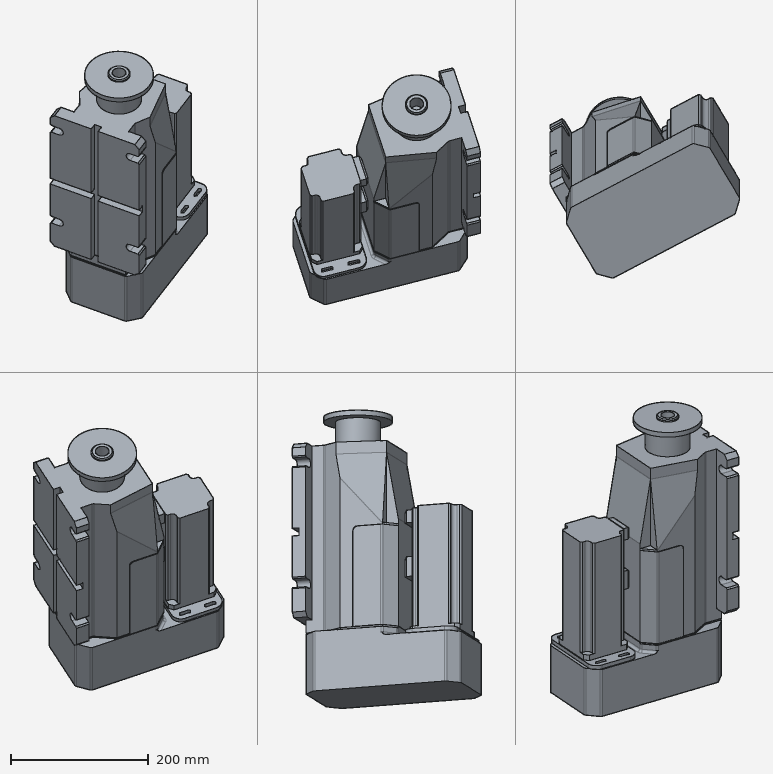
import cadquery as cq
import math

total_height = 420.0

base_width = 146.0
base_thickness = 20.5
base_bottom = 110.0
base_corner = 7.0
groove_width = 11.5
groove_depth = 10.5
cross_groove_z = 236.0
slot_heights = (160.5, 340.0)
slot_width = 13.0
slot_reach = 21.5
slot_mouth_chamfer = 2.0

body_width = 125.0
front_y = 11.5
body_back = 153.5
housing_bottom = 91.0
housing_top = 368.5
neck_width = 90.0
neck_back = 40.0
shoulder_y = 69.7
neck_fillet = 5.0
rear_chamfer = 18.0
ledge_z = 243.0
back_slope_bottom = 250.7
slope_top = 350.5
flank_angle = 10.1
flank_bottom = 242.0

pad_rise = 1.3
pad_front = 90.0
pad_rear = 134.5
pad_top = 240.2
pad_corner = 7.0
pad_edge_fillet = 4.0

cover_back = 250.0
cover_height = 76.0
step_top = 88.5
step_back = 152.5
cover_chamfer = 17.5
cover_edge_fillet = 5.0
step_fillet = 4.0
gap_inset = 1.0

motor_y = 205.0
motor_width = 77.0
motor_top = 269.5
motor_foot_top = 91.0
motor_foot_chamfer = 6.5
corner_notch = 13.0
corner_notch_fillet = 6.5
notch_mouth_chamfer = 2.5
plate_width = 121.0
plate_depth = 79.5
plate_thickness = 6.5
plate_corner = 14.5
plate_slot_x = 50.0
plate_slot_offset = 20.0
plate_slot_length = 17.5
plate_slot_width = 5.5

connector_width = 39.5
connector_reach = 12.5
connector_spans = ((169.5, 199.0), (249.5, 268.5))
connector_chamfer = 3.5

rod_y = 75.5
rod_diameter = 65.5
flange_diameter = 100.0
flange_bottom = 408.5
flange_top = 416.2
nub_diameter = 32.5
nub_chamfer = 1.5
bore_diameter = 19.7
bore_depth = 25.0

half_body = body_width / 2
half_neck = neck_width / 2
rear_y = body_back - rear_chamfer
plate_top = cover_height + plate_thickness
motor_front = motor_y - motor_width / 2
column_side = [(half_neck, front_y), (half_neck, neck_back), (half_body, shoulder_y), (half_body, rear_y)]
chamfer_end = (half_body - rear_chamfer, body_back)


def block(width, y_start, y_end, z_start, z_end):
    """Box centred on X = 0."""
    return (
        cq.Workplane("XY", origin=(0, (y_start + y_end) / 2, z_start))
        .rect(width, y_end - y_start)
        .extrude(z_end - z_start)
    )


def both_sides(shape):
    """The shape together with its mirror image across X = 0."""
    return shape.union(shape.mirror("YZ"))


def symmetric(right_points):
    """Closed outline from the points of its right half, listed from front to back."""
    return right_points + [(-x, y) for x, y in reversed(right_points)]


def make_base():
    base = block(base_width, 0, base_thickness, base_bottom, housing_top)
    base = base.edges("|Y").chamfer(base_corner)
    groove = block(groove_width, 0, groove_depth, base_bottom, housing_top)
    cross_groove = block(
        base_width, 0, groove_depth, cross_groove_z - groove_width / 2, cross_groove_z + groove_width / 2
    )
    base = base.cut(groove).cut(cross_groove)
    for z in slot_heights:
        base = base.cut(both_sides(make_edge_slot(z)))
    return base


def make_edge_slot(z):
    """Round-ended slot open to the side of the base, its mouth chamfered."""
    edge_x = base_width / 2
    radius = slot_width / 2
    round_x = edge_x - slot_reach + radius
    mouth = radius + slot_mouth_chamfer
    return (
        cq.Workplane("XZ")
        .moveTo(edge_x, z + mouth)
        .lineTo(edge_x - slot_mouth_chamfer, z + radius)
        .lineTo(round_x, z + radius)
        .threePointArc((round_x - radius, z), (round_x, z - radius))
        .lineTo(edge_x - slot_mouth_chamfer, z - radius)
        .lineTo(edge_x, z - mouth)
        .close()
        .extrude(-base_thickness)
    )


def make_housing_column():
    """Full-height part of the housing: a narrow neck widening to the body, with sloped flanks."""
    column = (
        cq.Workplane("XY", origin=(0, 0, housing_bottom))
        .polyline(symmetric(column_side))
        .close()
        .extrude(housing_top - housing_bottom)
    )
    for x in (-half_neck, half_neck):
        neck_edge = cq.selectors.NearestToPointSelector((x, neck_back, (housing_bottom + housing_top) / 2))
        column = column.edges(neck_edge).fillet(neck_fillet)
    return column.cut(both_sides(make_flank_cutter()))


def make_flank_cutter():
    """Wedge outside the flank: upright above slope_top, spreading outward below it."""
    angle = math.radians(flank_angle)
    along_flank = cq.Vector(math.sin(angle), -math.cos(angle), 0)
    outward = cq.Vector(math.cos(angle), math.sin(angle), 0)
    spread = (half_body - half_neck) * math.cos(angle)
    drop = slope_top - flank_bottom
    flank = cq.Plane(origin=(half_neck, rear_y, slope_top), xDir=outward, normal=along_flank)
    return (
        cq.Workplane(flank)
        .polyline(
            [
                (0, 0),
                (0, housing_top - slope_top),
                (2 * spread, housing_top - slope_top),
                (2 * spread, -2 * drop),
            ]
        )
        .close()
        .extrude(body_back, both=True)
    )


def make_housing_rear():
    """Chamfered rear of the housing below the ledge, and the sloped spine above it."""
    lower = (
        cq.Workplane("XY", origin=(0, 0, housing_bottom))
        .polyline(symmetric([(half_body, rear_y), chamfer_end]))
        .close()
        .extrude(ledge_z - housing_bottom)
    )
    spine = (
        cq.Workplane("YZ")
        .polyline(
            [(rear_y, ledge_z), (body_back, ledge_z), (body_back, back_slope_bottom), (rear_y, slope_top)]
        )
        .close()
        .extrude(half_neck, both=True)
    )
    return lower.union(spine)


def make_side_pad():
    """Thin raised pad on the side of the housing that wraps around the rear chamfer."""
    pad_x = half_body + pad_rise
    pad = (
        cq.Workplane("XY", origin=(0, 0, housing_bottom))
        .polyline(
            [
                (half_neck, pad_front),
                (pad_x, pad_front),
                (pad_x, pad_rear),
                (pad_x - (body_back - pad_rear), body_back),
                (half_neck - rear_chamfer, body_back),
            ]
        )
        .close()
        .extrude(pad_top - housing_bottom)
    )
    rear_edge = cq.selectors.NearestToPointSelector((pad_x, pad_rear, (housing_bottom + pad_top) / 2))
    pad = pad.edges(rear_edge).fillet(pad_edge_fillet)
    top_edge = cq.selectors.NearestToPointSelector((half_body, pad_front, pad_top))
    return pad.edges(top_edge).fillet(pad_corner)


def cover_block(y_end, z_start, z_end):
    """Block with chamfered upright corners, the chamfers blended into the faces."""
    plain = block(body_width, front_y, y_end, z_start, z_end)
    return plain.edges("|Z").chamfer(cover_chamfer).edges("|Z").fillet(cover_edge_fillet)


def make_cover():
    blend_top = cover_height + step_fillet
    outline = cover_block(cover_back, 0, blend_top).union(cover_block(step_back, blend_top, step_top))
    cover = make_step().intersect(outline)
    return cover.union(make_gap_filler())


def make_gap_filler():
    """Thin layer between cover and housing, set back all around from the housing outline."""
    return (
        cq.Workplane("XY", origin=(0, 0, step_top))
        .polyline(symmetric(column_side + [chamfer_end]))
        .close()
        .offset2D(-gap_inset)
        .extrude(housing_bottom - step_top)
    )


def make_step():
    """Slab with the raised step blended into its top; both run past the sides of the cover."""
    overrun = 2 * step_fillet
    side_x = half_body + overrun
    side_y = step_back - cover_chamfer - overrun
    slab = block(2 * side_x + overrun, front_y, cover_back, 0, cover_height)
    step = (
        cq.Workplane("XY", origin=(0, 0, cover_height))
        .polyline(symmetric([(side_x, front_y), (side_x, side_y), (half_body - cover_chamfer, step_back)]))
        .close()
        .extrude(step_top - cover_height)
    )
    step = step.edges("|Z and >Y").fillet(cover_edge_fillet)
    margin = step_fillet / 2
    foot = cq.selectors.BoxSelector(
        (-side_x + margin, side_y, cover_height - margin),
        (side_x - margin, step_back + margin, cover_height + margin),
    )
    return slab.union(step).edges(foot).fillet(step_fillet)


def make_adapter_plate():
    plate = block(
        plate_width, motor_y - plate_depth / 2, motor_y + plate_depth / 2, cover_height, plate_top
    )
    plate = plate.edges("|Z").fillet(plate_corner)
    slots = (
        cq.Workplane("XY", origin=(0, motor_y, cover_height))
        .rarray(2 * plate_slot_x, 2 * plate_slot_offset, 2, 2)
        .slot2D(plate_slot_length, plate_slot_width, 90)
        .extrude(plate_thickness)
    )
    return plate.cut(slots)


def make_motor():
    back = motor_front + motor_width
    foot = block(motor_width, motor_front, back, plate_top, motor_foot_top)
    foot = foot.edges("|Z").chamfer(motor_foot_chamfer)
    case = block(motor_width, motor_front, back, motor_foot_top, motor_top)
    notch = make_corner_notch()
    for quarter in range(4):
        case = case.cut(notch.rotate((0, motor_y, 0), (0, motor_y, 1), 90 * quarter))
    return foot.union(case)


def make_corner_notch():
    """Rounded notch along one upright corner of the motor, its two mouths chamfered."""
    edge = motor_width / 2
    wall = edge - corner_notch
    mouth = wall - notch_mouth_chamfer
    flat_end = wall + corner_notch_fillet
    mouth_end = edge - notch_mouth_chamfer
    return (
        cq.Workplane("XY", origin=(0, motor_y, motor_foot_top))
        .moveTo(edge, edge)
        .lineTo(mouth, edge)
        .lineTo(wall, mouth_end)
        .lineTo(wall, flat_end)
        .radiusArc((flat_end, wall), -corner_notch_fillet)
        .lineTo(mouth_end, wall)
        .lineTo(edge, mouth)
        .close()
        .extrude(motor_top - motor_foot_top)
    )


def make_connector(z_start, z_end):
    """Plug on the motor side facing the housing; its free end is chamfered except underneath."""
    plug = block(connector_width, motor_front - connector_reach, motor_front, z_start, z_end)
    return plug.faces("<Y").edges("|Z or >Z").chamfer(connector_chamfer)


def make_actuator():
    actuator = make_housing_column().union(make_housing_rear())
    actuator = actuator.union(both_sides(make_side_pad()))
    actuator = actuator.union(make_base()).union(make_cover())
    actuator = actuator.union(make_adapter_plate()).union(make_motor())
    for z_start, z_end in connector_spans:
        actuator = actuator.union(make_connector(z_start, z_end))
    return actuator


def make_rod():
    """Rod standing on the housing, with its end flange, pilot nub and bore."""
    rod = cq.Workplane("XY", origin=(0, rod_y, housing_top))
    rod = rod.circle(rod_diameter / 2).extrude(flange_bottom - housing_top)
    flange = cq.Workplane("XY", origin=(0, rod_y, flange_bottom))
    flange = flange.circle(flange_diameter / 2).extrude(flange_top - flange_bottom)
    nub = cq.Workplane("XY", origin=(0, rod_y, flange_top))
    nub = nub.circle(nub_diameter / 2).extrude(total_height - flange_top)
    nub = nub.faces(">Z").chamfer(nub_chamfer)
    bore = cq.Workplane("XY", origin=(0, rod_y, total_height - bore_depth))
    bore = bore.circle(bore_diameter / 2).extrude(bore_depth)
    return rod.union(flange).union(nub).cut(bore)


actuator = make_actuator()
rod = make_rod()
result = cq.Compound.makeCompound([actuator.val(), rod.val()])